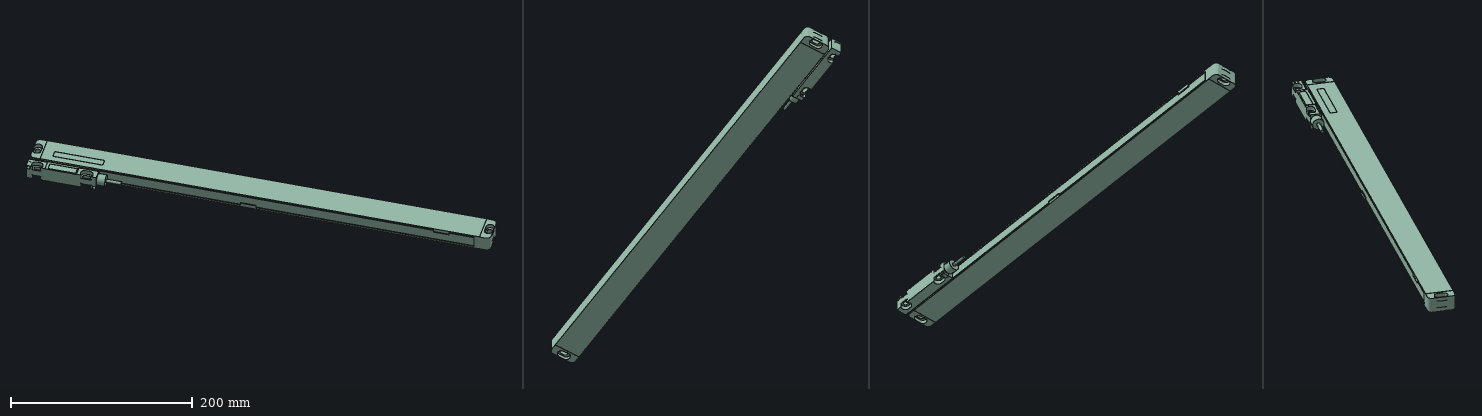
import cadquery as cq


height = 18.0
total_depth = 46.0

scale_length = 525.0
scale_width = 31.5
scale_corner_radius = 5.0
cap_length = 12.0
cap_step = 0.2
end_hole_inset = 5.0
end_bore_diameter = 9.0
end_bore_travel = 6.2
end_slot_diameter = 5.5
end_slot_travel = 3.5
counterbore_depth = 5.0
channel_end_inset = 18.5
channel_lip = 2.5
channel_depth = 1.0
tab_length = 17.5
tab_drop = 5.0
lower_tab_start = 240.5
upper_tab_start = 460.5
label_depth = 0.2
scale_label_start = 24.5
scale_label_length = 57.0
scale_label_width = 8.0
scale_label_y = 11.7
scale_label_corner_radius = 1.5

head_length = 80.0
head_gap = 1.7
head_front_y = scale_width - total_depth
head_back_y = -head_gap
rebate_width = 1.6
mount_y = head_front_y + 3.7
mount_bore_diameter = 9.4
mount_slot_diameter = 4.4
mounts = [(11.8, 3.1), (68.1, 4.7)]
recess_start = 21.5
recess_end = 57.4
recess_depth = 0.4
head_label_start = 24.7
head_label_end = 56.0
head_label_width = 8.0
head_label_y = head_front_y + 5.6
screw_hole_diameter = 4.0
screw_hole_depth = 7.6
screw_core_diameter = 2.4
screw_core_depth = 8.2
screw_hole_inset = 2.7

gland_diameter = 13.2
gland_length = 9.5
cable_diameter = 4.0
cable_end_x = 106.8
cable_y = head_front_y + gland_diameter / 2
cable_z = 10.0


def block(x_start, x_end, y_start, y_end, z_start, z_end):
    """A box given by its limits along each axis."""
    size = (x_end - x_start, y_end - y_start, z_end - z_start)
    return cq.Workplane("XY").box(*size, centered=False).translate((x_start, y_start, z_start))


def upright_slot(x, y, diameter, travel, angle, z_start, z_end):
    """A vertical obround column, elongated by travel at the given angle from X."""
    return (
        cq.Workplane("XY", origin=(x, y, z_start))
        .slot2D(diameter + travel, diameter, angle)
        .extrude(z_end - z_start)
    )


def mounting_slot(x, y, slot_diameter, slot_travel, bore_diameter, bore_travel, angle):
    """A through slot counterbored from the top and from the bottom."""
    return (
        upright_slot(x, y, slot_diameter, slot_travel, angle, 0, height)
        .union(upright_slot(x, y, bore_diameter, bore_travel, angle, 0, counterbore_depth))
        .union(upright_slot(x, y, bore_diameter, bore_travel, angle, height - counterbore_depth, height))
    )


def sealing_channel():
    """The shallow channel along the front face, narrowed by one lower and one upper tab."""
    channel_top = height - channel_lip
    channel = block(
        channel_end_inset, scale_length - channel_end_inset, 0, channel_depth, channel_lip, channel_top
    )
    lower_tab = block(lower_tab_start, lower_tab_start + tab_length, 0, channel_depth, 0, tab_drop)
    upper_tab = block(
        upper_tab_start, upper_tab_start + tab_length, 0, channel_depth, height - tab_drop, height
    )
    return channel.cut(lower_tab).cut(upper_tab)


def make_scale():
    scale = block(0, scale_length, 0, scale_width, 0, height).edges("|Z").fillet(scale_corner_radius)
    scale = scale.cut(sealing_channel())

    for cap_start, hole_x in (
        (0, end_hole_inset),
        (scale_length - cap_length, scale_length - end_hole_inset),
    ):
        cap_end = cap_start + cap_length
        scale = scale.cut(block(cap_start, cap_end, 0, scale_width, height - cap_step, height))
        scale = scale.cut(block(cap_start, cap_end, 0, scale_width, 0, cap_step))
        scale = scale.cut(
            mounting_slot(
                hole_x,
                scale_width / 2,
                end_slot_diameter,
                end_slot_travel,
                end_bore_diameter,
                end_bore_travel,
                90,
            )
        )

    label = block(
        scale_label_start,
        scale_label_start + scale_label_length,
        scale_label_y - scale_label_width / 2,
        scale_label_y + scale_label_width / 2,
        height - label_depth,
        height,
    )
    return scale.cut(label.edges("|Z").fillet(scale_label_corner_radius))


def screw_hole(x, z):
    """A blind hole running back from the head's front face, with a narrower core at its end."""
    front = cq.Workplane("XZ", origin=(x, head_front_y, z))
    hole = front.circle(screw_hole_diameter / 2).extrude(-screw_hole_depth)
    core = front.circle(screw_core_diameter / 2).extrude(-screw_core_depth)
    return hole.union(core)


def make_head():
    head = block(0, head_length, head_front_y, head_back_y, 0, height)

    recess_floor = height - recess_depth
    head = head.cut(
        block(0, head_length, head_back_y - rebate_width, head_back_y, recess_floor, height)
    )
    head = head.cut(block(recess_start, recess_end, head_front_y, head_back_y, recess_floor, height))
    head = head.cut(
        block(
            head_label_start,
            head_label_end,
            head_label_y - head_label_width / 2,
            head_label_y + head_label_width / 2,
            recess_floor - label_depth,
            recess_floor,
        )
    )

    for mount_x, travel in mounts:
        head = head.cut(
            mounting_slot(
                mount_x, mount_y, mount_slot_diameter, travel, mount_bore_diameter, travel, 0
            )
        )

    head = head.cut(screw_hole(screw_hole_inset, height - screw_hole_inset))
    head = head.cut(screw_hole(head_length - screw_hole_inset, screw_hole_inset))

    outlet = cq.Workplane("YZ", origin=(head_length, cable_y, cable_z))
    gland = outlet.circle(gland_diameter / 2).extrude(gland_length)
    cable = outlet.circle(cable_diameter / 2).extrude(cable_end_x - head_length)
    return head.union(gland).union(cable)


scale_housing = make_scale()
reading_head = make_head()

result = cq.Compound.makeCompound([scale_housing.val(), reading_head.val()])